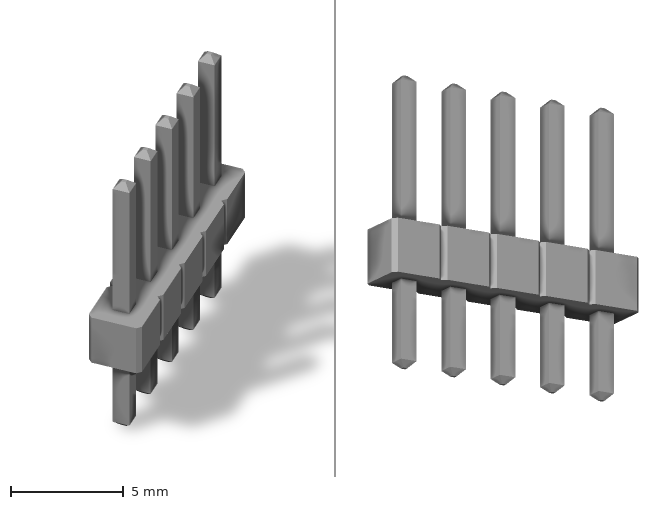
import cadquery as cq

unit_count = 5
row_length = 12.7
pitch = row_length / unit_count

block_width = pitch
block_height = 2.5
block_chamfer = 0.2

total_height = 13.5
pin_width = 0.8
pin_tip_chamfer = 0.3
pin_length_below = 4.0


def make_block():
    """Block with its underside on Z = 0."""
    return (
        cq.Workplane("XY")
        .rect(block_width, block_width)
        .extrude(block_height)
        .edges("|Z")
        .chamfer(block_chamfer)
    )


def make_pin():
    """Full-height pin that reaches below and above the block."""
    return (
        cq.Workplane("XY")
        .workplane(offset=-pin_length_below)
        .rect(pin_width, pin_width)
        .extrude(total_height)
        .faces("<Z or >Z")
        .chamfer(pin_tip_chamfer)
    )


def make_header_unit(y_center):
    """One block and pin in a single solid, centred on X = 0 at the given Y."""
    return make_block().union(make_pin()).translate((0, y_center, 0))


first_unit_y = -(row_length - pitch) / 2
header_units = [make_header_unit(first_unit_y + index * pitch) for index in range(unit_count)]

result = cq.Compound.makeCompound([unit.solids().val() for unit in header_units])